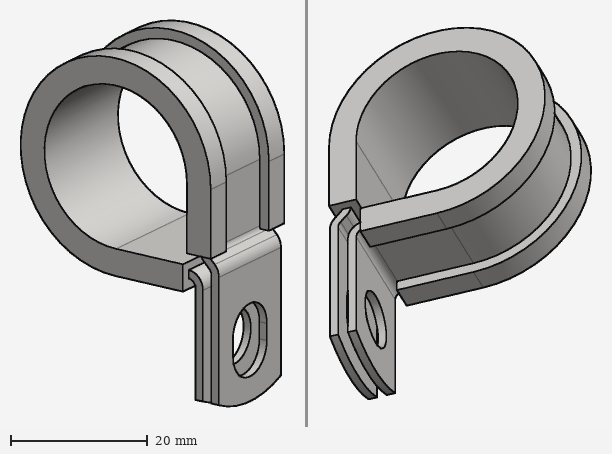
import cadquery as cq
import math

cushion_outer_radius = 16.95
cushion_inner_radius = 12.7
cushion_width = 18.95
groove_width = 10.95
upper_end_z = -10.85
lower_end_x = 12.0

strap_thickness = 1.3
strap_width = 16.0
strap_outer_radius = 15.3
strap_inner_radius = strap_outer_radius - strap_thickness

tab_bottom_z = cushion_outer_radius - 52.6
outer_tab_x = 17.35
tab_gap = 1.5
inner_tab_x = outer_tab_x - strap_thickness - tab_gap
tab_end_rise = 1.75
hole_diameter = 8.7
slot_length = 11.35
hole_z = -26.1

bend_inner_radius = 1.25
bend_outer_radius = bend_inner_radius + strap_thickness
jog_angle = math.radians(45)
jog_end_z = -14.0


def extrude_centered(outline, width):
    """Extrude an XZ outline along Y, evenly about the XZ plane."""
    return outline.extrude(width / 2, both=True)


def loop_band(inner_radius, outer_radius, width):
    """Three-quarter ring with a straight leg continuing from each end."""
    diagonal = math.sqrt(0.5)
    outline = (
        cq.Workplane("XZ")
        .moveTo(outer_radius, upper_end_z)
        .lineTo(outer_radius, 0)
        .threePointArc((-outer_radius * diagonal, outer_radius * diagonal), (0, -outer_radius))
        .lineTo(lower_end_x, -outer_radius)
        .lineTo(lower_end_x, -inner_radius)
        .lineTo(0, -inner_radius)
        .threePointArc((-inner_radius * diagonal, inner_radius * diagonal), (inner_radius, 0))
        .lineTo(inner_radius, upper_end_z)
        .close()
    )
    return extrude_centered(outline, width)


def lower_tab():
    """Strap end that turns down from the lower leg through a right angle."""
    bend_x = inner_tab_x - bend_outer_radius
    bend_z = -strap_inner_radius - bend_outer_radius
    diagonal = math.sqrt(0.5)
    outline = (
        cq.Workplane("XZ")
        .moveTo(0, -strap_inner_radius)
        .lineTo(bend_x, -strap_inner_radius)
        .threePointArc(
            (bend_x + bend_outer_radius * diagonal, bend_z + bend_outer_radius * diagonal),
            (inner_tab_x, bend_z),
        )
        .lineTo(inner_tab_x, tab_bottom_z)
        .lineTo(inner_tab_x - strap_thickness, tab_bottom_z)
        .lineTo(inner_tab_x - strap_thickness, bend_z)
        .threePointArc(
            (bend_x + bend_inner_radius * diagonal, bend_z + bend_inner_radius * diagonal),
            (bend_x, -strap_outer_radius),
        )
        .lineTo(0, -strap_outer_radius)
        .close()
    )
    return extrude_centered(outline, strap_width)


def upper_tab():
    """Strap end that jogs outward below the upper leg and then runs down."""
    offset = outer_tab_x - strap_outer_radius
    middle_radius = (bend_inner_radius + bend_outer_radius) / 2
    arc_shift = 2 * middle_radius * (1 - math.cos(jog_angle))
    jog_height = 2 * middle_radius * math.sin(jog_angle) + (offset - arc_shift) / math.tan(jog_angle)
    jog_start_z = jog_end_z + jog_height
    start_center_x = strap_outer_radius + bend_inner_radius
    end_center_x = outer_tab_x - bend_outer_radius

    def start_arc(radius, angle):
        return (start_center_x - radius * math.cos(angle), jog_start_z - radius * math.sin(angle))

    def end_arc(radius, angle):
        return (end_center_x + radius * math.cos(angle), jog_end_z + radius * math.sin(angle))

    half_angle = jog_angle / 2
    outline = (
        cq.Workplane("XZ")
        .moveTo(strap_outer_radius, 0)
        .lineTo(strap_outer_radius, jog_start_z)
        .threePointArc(start_arc(bend_inner_radius, half_angle), start_arc(bend_inner_radius, jog_angle))
        .lineTo(*end_arc(bend_outer_radius, jog_angle))
        .threePointArc(end_arc(bend_outer_radius, half_angle), (outer_tab_x, jog_end_z))
        .lineTo(outer_tab_x, tab_bottom_z)
        .lineTo(outer_tab_x - strap_thickness, tab_bottom_z)
        .lineTo(outer_tab_x - strap_thickness, jog_end_z)
        .threePointArc(end_arc(bend_inner_radius, half_angle), end_arc(bend_inner_radius, jog_angle))
        .lineTo(*start_arc(bend_outer_radius, jog_angle))
        .threePointArc(start_arc(bend_outer_radius, half_angle), (strap_inner_radius, jog_start_z))
        .lineTo(strap_inner_radius, 0)
        .close()
    )
    return extrude_centered(outline, strap_width)


def tab_envelope():
    """Face-on tab shape: straight sides, and an arched bottom."""
    half_width = strap_width / 2
    corner_z = tab_bottom_z + tab_end_rise
    return (
        cq.Workplane("YZ")
        .moveTo(-half_width, 0)
        .lineTo(-half_width, corner_z)
        .threePointArc((0, tab_bottom_z), (half_width, corner_z))
        .lineTo(half_width, 0)
        .close()
        .extrude(outer_tab_x)
    )


def bolt_hole():
    """Round hole through the inner tab."""
    return (
        cq.Workplane("YZ")
        .center(0, hole_z)
        .circle(hole_diameter / 2)
        .extrude(outer_tab_x)
    )


def bolt_slot():
    """Upright slot through the outer tab, allowing for adjustment."""
    return (
        cq.Workplane("YZ")
        .center(0, hole_z)
        .slot2D(slot_length, hole_diameter, 90)
        .extrude(outer_tab_x)
    )


cushion_core = loop_band(cushion_inner_radius, strap_outer_radius, cushion_width)
cushion_rims = loop_band(strap_outer_radius, cushion_outer_radius, cushion_width).cut(
    loop_band(strap_outer_radius, cushion_outer_radius, groove_width)
)
inner_tab = lower_tab().cut(bolt_hole())
outer_tab = upper_tab().cut(bolt_slot())
tabs = inner_tab.union(outer_tab).intersect(tab_envelope())
result = cushion_core.union(cushion_rims).union(tabs)